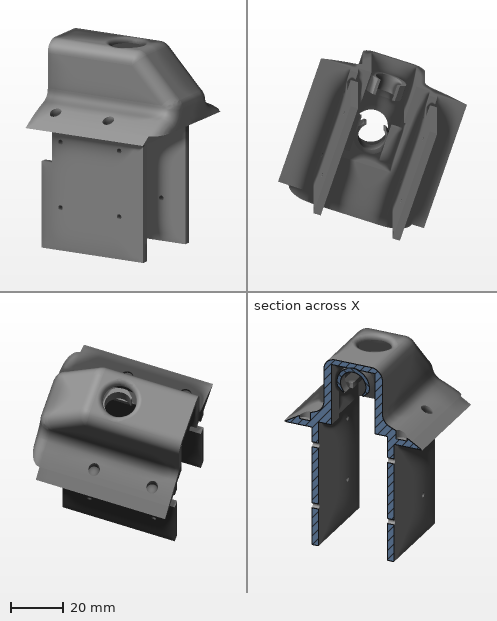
import cadquery as cq
import math

HEIGHT = 80.9
HOOD_LENGTH = 57.0
HOOD_WIDTH = 25.0
BASE_Z = 52.8
EDGE_RADIUS = 5.0
SLOPE_START_X = 39.3
SLOPE_END_Z = 62.15

FLANGE_WIDTH = 58.75
LIP_BOTTOM_Z = 50.0
FLANGE_ARC_RADIUS = 64.7
FLANGE_ARC_CENTER_Y = -7.7
FLANGE_ARC_CENTER_Z = -3.15
FLANGE_LENGTH = HOOD_LENGTH - EDGE_RADIUS

PLATE_LENGTH = 45.1
PLATE_OUTER_Y = 17.4
PLATE_THICKNESS = 2.9
PLATE_INNER_Y = PLATE_OUTER_Y - PLATE_THICKNESS
NOTCH_DEPTH = 4.8
NOTCH_BOTTOM_Z = 34.15
NOTCH_TOP_Z = 46.4
PLATE_HOLE_DIAMETER = 1.95
PLATE_HOLE_SPACING = 26.0
PLATE_HOLE_X = 8.5
PLATE_HOLE_Z = 16.8

FLANGE_HOLE_DIAMETER = 4.45
FLANGE_HOLE_XS = (8.1, 31.5)
FLANGE_HOLE_Y = 20.4
FLANGE_HOLE_FLOOR_Z = BASE_Z

ENTRY_WIDTH = 18.1
ENTRY_TOP_Z = 78.4
CHAMBER_START_X = 15.3
CHAMBER_WALL = 2.0
CHAMBER_WIDTH = HOOD_WIDTH - 2 * CHAMBER_WALL
CHAMBER_TOP_Z = HEIGHT - CHAMBER_WALL
CHAMBER_END_X = 35.7
LEDGE_START_X = 21.0
LEDGE_GAP = 12.0
LEDGE_BOTTOM_Z = 63.4
LEDGE_HEIGHT = 2.2

OPENING_X = 27.9
OPENING_RADIUS = 6.5
OPENING_FILLET = 2.0

CLIP_OUTER_RADIUS = 6.95
CLIP_INNER_RADIUS = 5.3
CLIP_LENGTH = 6.4
CLIP_TIP_OFFSET = 4.05
CLIP_TIP_HALF_WIDTH = 4.45
FRONT_CLIP_X = 6.1
FRONT_CLIP_Z = 71.8
ROOF_CLIP_X = 28.65
ROOF_CLIP_Y = -0.6
ROOF_CLIP_Z = 67.5


def box(x_range, y_range, z_range):
    """Axis-aligned block between the given limits."""
    size = [high - low for low, high in (x_range, y_range, z_range)]
    corner = (x_range[0], y_range[0], z_range[0])
    return cq.Workplane("XY").box(*size, centered=False).translate(corner)


def flange_top_y(z):
    """Y of the +Y flange's curved top at height z."""
    return FLANGE_ARC_CENTER_Y + math.sqrt(FLANGE_ARC_RADIUS**2 - (z - FLANGE_ARC_CENTER_Z) ** 2)


def flange_top_z(y):
    """Height of the +Y flange's curved top at distance y from the middle plane."""
    return FLANGE_ARC_CENTER_Z + math.sqrt(FLANGE_ARC_RADIUS**2 - (y - FLANGE_ARC_CENTER_Y) ** 2)


def make_hood():
    """Flanged hood with a sloping nose and rounded edges, still solid inside."""
    wall_y = HOOD_WIDTH / 2
    root_z = flange_top_z(wall_y)
    tip_y = flange_top_y(LIP_BOTTOM_Z)
    hood = (
        cq.Workplane("YZ")
        .moveTo(-tip_y, LIP_BOTTOM_Z)
        .lineTo(tip_y, LIP_BOTTOM_Z)
        .radiusArc((wall_y, root_z), -FLANGE_ARC_RADIUS)
        .lineTo(wall_y, HEIGHT)
        .lineTo(-wall_y, HEIGHT)
        .lineTo(-wall_y, root_z)
        .radiusArc((-tip_y, LIP_BOTTOM_Z), -FLANGE_ARC_RADIUS)
        .close()
        .extrude(HOOD_LENGTH)
    )
    nose_cut = (
        cq.Workplane("XZ")
        .polyline([(SLOPE_START_X, HEIGHT), (HOOD_LENGTH, HEIGHT), (HOOD_LENGTH, SLOPE_END_Z)])
        .close()
        .extrude(HOOD_WIDTH / 2, both=True)
    )
    hood = hood.cut(nose_cut)
    roots = cq.selectors.BoxSelector(
        (0, -HOOD_WIDTH, root_z - 0.1), (HOOD_LENGTH, HOOD_WIDTH, root_z + 0.1)
    )
    hood = hood.edges("|X").edges(roots).fillet(EDGE_RADIUS)
    upper_edges = cq.selectors.BoxSelector(
        (0.8, -HOOD_WIDTH, SLOPE_END_Z - 0.1), (HOOD_LENGTH + 0.8, HOOD_WIDTH, HEIGHT + 0.8)
    )
    end_edges = cq.selectors.BoxSelector(
        (HOOD_LENGTH - 0.2, -tip_y, LIP_BOTTOM_Z + 0.8), (HOOD_LENGTH + 0.8, tip_y, HEIGHT)
    )
    hood = hood.edges(upper_edges + end_edges).fillet(EDGE_RADIUS)
    return hood.cut(box((0, HOOD_LENGTH), (-tip_y, tip_y), (LIP_BOTTOM_Z, BASE_Z)))


def make_flange_lip(side):
    """Straight wedge under one flange; side is +1 or -1 along Y."""
    return (
        cq.Workplane("YZ")
        .moveTo(side * PLATE_INNER_Y, BASE_Z)
        .lineTo(side * flange_top_y(BASE_Z), BASE_Z)
        .lineTo(side * FLANGE_WIDTH / 2, LIP_BOTTOM_Z)
        .lineTo(side * PLATE_INNER_Y, LIP_BOTTOM_Z)
        .close()
        .extrude(FLANGE_LENGTH)
    )


def make_side_plate(side):
    """Notched plate with four holes below one flange; side is +1 or -1 along Y."""
    y_range = sorted((side * PLATE_INNER_Y, side * PLATE_OUTER_Y))
    plate = box((0, PLATE_LENGTH), y_range, (0, BASE_Z))
    notch = box((0, NOTCH_DEPTH), y_range, (NOTCH_BOTTOM_Z, NOTCH_TOP_Z))
    hole_points = [
        (PLATE_HOLE_X + column * PLATE_HOLE_SPACING, PLATE_HOLE_Z + row * PLATE_HOLE_SPACING)
        for column in range(2)
        for row in range(2)
    ]
    holes = (
        cq.Workplane("XZ")
        .pushPoints(hole_points)
        .circle(PLATE_HOLE_DIAMETER / 2)
        .extrude(PLATE_OUTER_Y, both=True)
    )
    return plate.cut(notch).cut(holes)


def make_flange_holes():
    """Four flat-bottomed holes sunk into the flanges from above."""
    points = [(x, side * FLANGE_HOLE_Y) for x in FLANGE_HOLE_XS for side in (-1, 1)]
    return (
        cq.Workplane("XY", origin=(0, 0, FLANGE_HOLE_FLOOR_Z))
        .pushPoints(points)
        .circle(FLANGE_HOLE_DIAMETER / 2)
        .extrude(flange_top_z(HOOD_WIDTH / 2) - FLANGE_HOLE_FLOOR_Z)
    )


def make_cavity():
    """Entry passage and wider chamber, leaving a ledge on each chamber wall."""
    entry_y = ENTRY_WIDTH / 2
    chamber_y = CHAMBER_WIDTH / 2
    entry = box((0, CHAMBER_START_X), (-entry_y, entry_y), (BASE_Z, ENTRY_TOP_Z))
    chamber = box(
        (CHAMBER_START_X, CHAMBER_END_X), (-chamber_y, chamber_y), (BASE_Z, CHAMBER_TOP_Z)
    )
    cavity = entry.union(chamber)
    ledge_z_range = (LEDGE_BOTTOM_Z, LEDGE_BOTTOM_Z + LEDGE_HEIGHT)
    for side in (-1, 1):
        y_range = sorted((side * LEDGE_GAP / 2, side * chamber_y))
        cavity = cavity.cut(box((LEDGE_START_X, CHAMBER_END_X), y_range, ledge_z_range))
    return cavity


def add_roof_opening(hood):
    """Cut the round opening through the roof and round its outer rim."""
    opening = (
        cq.Workplane("XY", origin=(OPENING_X, 0, ENTRY_TOP_Z - OPENING_RADIUS))
        .circle(OPENING_RADIUS)
        .extrude(HEIGHT)
    )
    opened = hood.cut(opening)
    rim = cq.selectors.BoxSelector(
        (OPENING_X - OPENING_RADIUS - 0.1, -OPENING_RADIUS - 0.1, CHAMBER_TOP_Z + 0.8),
        (OPENING_X + OPENING_RADIUS + 0.1, OPENING_RADIUS + 0.1, HEIGHT + 0.8),
    )
    return opened.edges(rim).fillet(OPENING_FILLET)


def make_clip():
    """C-shaped clip along Z from its lower face, with its mouth facing -X."""
    ring = cq.Workplane("XY").circle(CLIP_OUTER_RADIUS).circle(CLIP_INNER_RADIUS).extrude(CLIP_LENGTH)
    far = 2 * CLIP_OUTER_RADIUS
    reach = far - CLIP_TIP_HALF_WIDTH
    keep = (
        cq.Workplane("XY")
        .moveTo(-CLIP_TIP_OFFSET, -CLIP_TIP_HALF_WIDTH)
        .lineTo(-CLIP_TIP_OFFSET + reach, -far)
        .lineTo(far, -far)
        .lineTo(far, far)
        .lineTo(-CLIP_TIP_OFFSET + reach, far)
        .lineTo(-CLIP_TIP_OFFSET, CLIP_TIP_HALF_WIDTH)
        .close()
        .extrude(CLIP_LENGTH)
    )
    return ring.intersect(keep)


front_clip = (
    make_clip()
    .rotate((0, 0, 0), (0, 1, 0), -90)
    .translate((FRONT_CLIP_X + CLIP_LENGTH, 0, FRONT_CLIP_Z))
)
roof_clip = make_clip().translate((ROOF_CLIP_X, ROOF_CLIP_Y, ROOF_CLIP_Z))
clips = [front_clip, roof_clip]

housing = add_roof_opening(make_hood()).cut(make_flange_holes()).cut(make_cavity())
for flange_side in (-1, 1):
    housing = housing.union(make_flange_lip(flange_side)).union(make_side_plate(flange_side))
for clip in clips:
    housing = housing.cut(clip)

result = cq.Compound.makeCompound([housing.val(), *[clip.val() for clip in clips]])